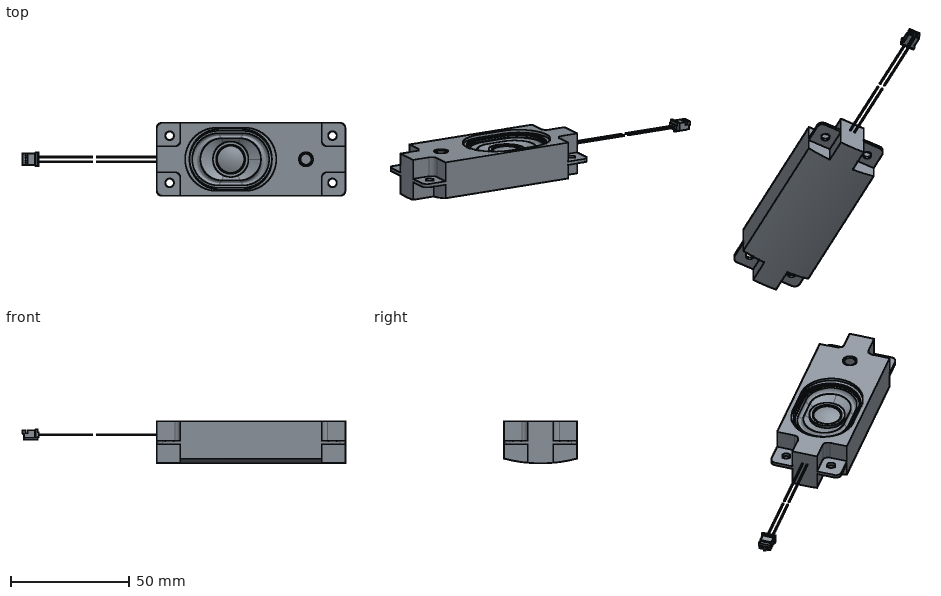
import cadquery as cq
import math

LENGTH = 80.0
WIDTH = 31.0
HEIGHT = 17.9
BELLY_SAG = 2.0
NOTCH_LENGTH = 10.1
STRIP_WIDTH = 11.0
NOTCH_WIDTH = (WIDTH - STRIP_WIDTH) / 2
NOTCH_RADIUS = 2.5
TAB_TOP = 9.6
TAB_THICKNESS = 1.5
TAB_RADIUS = 2.5
HOLE_DIAMETER = 3.5
HOLE_SPACING_X = 69.0
HOLE_SPACING_Y = 20.0

PORT_X = 23.3
PORT_DIAMETER = 4.7
PORT_MOUTH_DIAMETER = 6.0
PORT_MOUTH_DEPTH = 0.4
PORT_DEPTH = 11.0

SPEAKER_X = -8.6
SEAT_MOUTH = (19.3, 13.4)
SEAT_MOUTH_DEPTH = 1.2
SEAT_STEP = (17.5, 12.9)
SEAT_STEP_DEPTH = 1.9
FRAME = (17.4, 12.0)
FRAME_TOP = HEIGHT - 2.7
FRAME_THICKNESS = 5.5
SURROUND = (16.5, 11.2)
SURROUND_DEPTH = 1.5
CONE = (12.9, 8.9)
CONE_EDGE_DROP = 0.4
CONE_DEPTH = 2.2
COIL_RADIUS = 7.5
COIL_INNER_RADIUS = 6.2
COIL_TOP_DEPTH = 1.0
DOME_RADIUS = 5.7
DOME_BASE_DEPTH = 1.5
DOME_HEIGHT = 1.2
LOFT_STEPS = 8

WIRE_DIAMETER = 0.5
WIRE_SPACING = 2.0
WIRE_Z = 12.2
PLUG_FRONT_X = LENGTH / 2 - 136.8
PLUG_WIRE_END_X = -67.2
HOUSING_WIRE_END_X = -65.3
WIRE_EMBED = 0.7

PLUG_WIDTH = 4.9
PLUG_TOP = 14.1
PLUG_BOTTOM = 10.8
LIP_OVERHANG = 0.5
LIP_BOTTOM = 12.9
LIP_SLOPE_BOTTOM = 12.2
SLOT_START = 1.4
SLOT_WIDTH = 0.8
FLANGE_START = 5.2
FLANGE_END = 6.6
FLANGE_WIDTH = 5.9
FLANGE_TOP = 14.5
FLANGE_TAPER = 0.4
BACK_END = 7.0
BACK_TOP = 13.3
BACK_BOTTOM = 11.2
KEY_WIDTH = 0.8
KEY_BOTTOM = 10.0
SOCKET_SIZE = 0.8
SOCKET_DEPTH = 2.7
SOCKET_Z = 12.0


def box(x0, x1, y0, y1, z0, z1):
    return cq.Workplane("XY").box(x1 - x0, y1 - y0, z1 - z0, centered=False).translate((x0, y0, z0))


def stadium(plane, size):
    half_length, half_width = size
    return plane.slot2D(2 * half_length, 2 * half_width)


def seat_plane(z):
    return cq.Workplane("XY", origin=(SPEAKER_X, 0, z))


def wires(x0, x1):
    return (
        cq.Workplane("YZ", origin=(x0, 0, WIRE_Z))
        .pushPoints([(-WIRE_SPACING / 2, 0), (WIRE_SPACING / 2, 0)])
        .circle(WIRE_DIAMETER / 2)
        .extrude(x1 - x0)
    )


def notch_block(x, y, z0, z1):
    """Block centred on a housing corner, so that one quarter of it is the notch."""
    return box(x - NOTCH_LENGTH, x + NOTCH_LENGTH, y - NOTCH_WIDTH, y + NOTCH_WIDTH, z0, z1)


def make_housing():
    body = (
        cq.Workplane("YZ", origin=(-LENGTH / 2, 0, 0))
        .moveTo(-WIDTH / 2, HEIGHT)
        .lineTo(-WIDTH / 2, BELLY_SAG)
        .threePointArc((0, 0), (WIDTH / 2, BELLY_SAG))
        .lineTo(WIDTH / 2, HEIGHT)
        .close()
        .extrude(LENGTH)
    )

    tab_bottom = TAB_TOP - TAB_THICKNESS
    for side_x in (-1, 1):
        for side_y in (-1, 1):
            corner = (side_x * LENGTH / 2, side_y * WIDTH / 2)
            lower_notch = notch_block(*corner, 0, tab_bottom)
            upper_notch = notch_block(*corner, TAB_TOP, HEIGHT).edges("|Z").fillet(NOTCH_RADIUS)
            body = body.cut(lower_notch).cut(upper_notch)

    tab_band = box(-LENGTH / 2, LENGTH / 2, -WIDTH / 2, WIDTH / 2, tab_bottom, TAB_TOP)
    rounded_band = tab_band.edges("|Z").fillet(TAB_RADIUS)
    body = body.cut(tab_band.cut(rounded_band))
    holes = (
        cq.Workplane("XY")
        .rect(HOLE_SPACING_X, HOLE_SPACING_Y, forConstruction=True)
        .vertices()
        .circle(HOLE_DIAMETER / 2)
        .extrude(HEIGHT)
    )
    body = body.cut(holes)

    top = cq.Workplane("XY", origin=(PORT_X, 0, HEIGHT))
    body = body.cut(top.circle(PORT_DIAMETER / 2).extrude(-PORT_DEPTH))
    mouth = cq.Solid.makeCone(
        PORT_MOUTH_DIAMETER / 2,
        PORT_DIAMETER / 2,
        PORT_MOUTH_DEPTH,
        cq.Vector(PORT_X, 0, HEIGHT),
        cq.Vector(0, 0, -1),
    )
    body = body.cut(cq.Workplane(mouth))

    body = body.cut(stadium(seat_plane(HEIGHT), SEAT_MOUTH).extrude(-SEAT_MOUTH_DEPTH))
    body = body.cut(stadium(seat_plane(HEIGHT), SEAT_STEP).extrude(-SEAT_STEP_DEPTH))
    frame_bottom = FRAME_TOP - FRAME_THICKNESS
    body = body.cut(stadium(seat_plane(frame_bottom), FRAME).extrude(HEIGHT - frame_bottom))
    return body.union(wires(HOUSING_WIRE_END_X, -LENGTH / 2 + WIRE_EMBED))


def side_faces(sections, ruled):
    """Faces of a loft without its flat ends."""
    loft = cq.Solid.makeLoft(sections, ruled)
    return [face for face in loft.Faces() if face.geomType() != "PLANE"]


def speaker_cavity():
    """Solid above the surround trough and the cone, up to the frame top."""
    sections = []
    for step in range(LOFT_STEPS + 1):
        part = step / LOFT_STEPS
        size = [outer + (inner - outer) * part for outer, inner in zip(SURROUND, CONE)]
        depth = SURROUND_DEPTH * math.sin(math.pi * part) + CONE_EDGE_DROP * part
        sections.append(stadium(seat_plane(FRAME_TOP - depth), size).val())
    floor_edge = seat_plane(FRAME_TOP - CONE_DEPTH).circle(COIL_RADIUS).val()
    faces = side_faces(sections, False) + side_faces([sections[-1], floor_edge], True)
    faces += [cq.Face.makeFromWires(sections[0]), cq.Face.makeFromWires(floor_edge)]
    return cq.Workplane(cq.Solid.makeSolid(cq.Shell.makeShell(faces)))


def make_speaker():
    body = stadium(seat_plane(FRAME_TOP), FRAME).extrude(-FRAME_THICKNESS).cut(speaker_cavity())
    floor = FRAME_TOP - CONE_DEPTH
    dome_base = FRAME_TOP - DOME_BASE_DEPTH
    coil = seat_plane(floor).circle(COIL_RADIUS).extrude(CONE_DEPTH - COIL_TOP_DEPTH)
    coil = coil.cut(seat_plane(dome_base).circle(COIL_INNER_RADIUS).extrude(DOME_BASE_DEPTH))

    sphere_radius = (DOME_RADIUS**2 + DOME_HEIGHT**2) / (2 * DOME_HEIGHT)
    sphere_z = dome_base + DOME_HEIGHT - sphere_radius
    sphere = cq.Workplane("XY").sphere(sphere_radius).translate((SPEAKER_X, 0, sphere_z))
    dome = sphere.intersect(seat_plane(dome_base).circle(DOME_RADIUS).extrude(DOME_HEIGHT))
    return body.union(coil).union(dome)


def make_plug():
    def block(start, end, width, z0, z1):
        return box(PLUG_FRONT_X + start, PLUG_FRONT_X + end, -width / 2, width / 2, z0, z1)

    body = block(LIP_OVERHANG, FLANGE_END, PLUG_WIDTH, PLUG_BOTTOM, PLUG_TOP)
    lip = (
        cq.Workplane("XZ", origin=(PLUG_FRONT_X, PLUG_WIDTH / 2, 0))
        .moveTo(0, PLUG_TOP)
        .lineTo(0, LIP_BOTTOM)
        .lineTo(LIP_OVERHANG, LIP_SLOPE_BOTTOM)
        .lineTo(SLOT_START, LIP_SLOPE_BOTTOM)
        .lineTo(SLOT_START, PLUG_TOP)
        .close()
        .extrude(PLUG_WIDTH)
    )
    body = body.union(lip)
    body = body.cut(block(SLOT_START, SLOT_START + SLOT_WIDTH, PLUG_WIDTH, LIP_BOTTOM, PLUG_TOP))

    flange = block(FLANGE_START, FLANGE_END, FLANGE_WIDTH, PLUG_BOTTOM, FLANGE_TOP)
    flange = flange.faces("<X").edges("|Z or >Z").chamfer(FLANGE_TAPER)
    body = body.union(flange)
    body = body.union(block(FLANGE_END, BACK_END, FLANGE_WIDTH, BACK_BOTTOM, BACK_TOP))
    body = body.union(block(LIP_OVERHANG, FLANGE_END, KEY_WIDTH, KEY_BOTTOM, PLUG_BOTTOM))

    sockets = (
        cq.Workplane("YZ", origin=(PLUG_FRONT_X + LIP_OVERHANG, 0, SOCKET_Z))
        .pushPoints([(-WIRE_SPACING / 2, 0), (WIRE_SPACING / 2, 0)])
        .rect(SOCKET_SIZE, SOCKET_SIZE)
        .extrude(SOCKET_DEPTH)
    )
    body = body.cut(sockets)
    return body.union(wires(PLUG_FRONT_X + FLANGE_END, PLUG_WIRE_END_X))


housing = make_housing()
speaker = make_speaker()
plug = make_plug()
result = cq.Compound.makeCompound([housing.val(), speaker.val(), plug.val()])